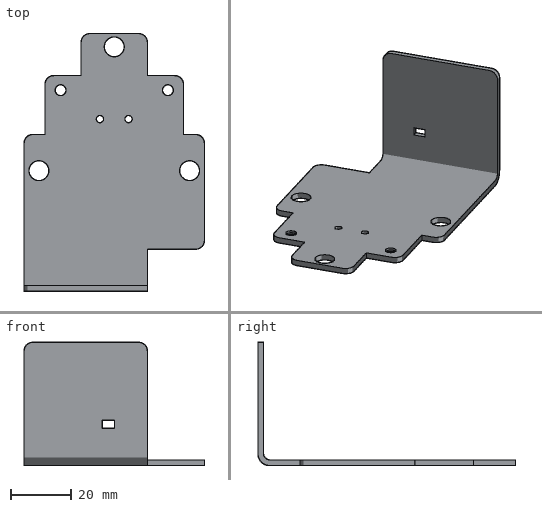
import cadquery as cq

width = 60.0
length = 85.7
height = 41.0
thickness = 2.0
bend_outer_radius = 4.0
bend_inner_radius = bend_outer_radius - thickness
corner_radius = 3.0

center_x = width / 2
flange_width = 41.0
wide_front_y = 14.0
wide_back_y = 52.2
middle_back_y = 71.7
middle_width = 46.1
tip_width = 2 * (flange_width - center_x)

large_diameter = 6.5
medium_diameter = 3.5
small_diameter = 2.3
countersink_diameter = 6.0
countersink_depth = (countersink_diameter - medium_diameter) / 2
large_spacing = 50.0
medium_spacing = 35.6
small_spacing = 9.5
large_y = 40.1
medium_y = 66.8
small_y = 57.2
tip_hole_y = 81.2

window_width = 3.9
window_height = 2.6
window_x = 28.0
window_z = 13.8


def box(x_min, x_max, y_min, y_max, z_min, z_max):
    """Box between the given limits along each axis."""
    size = (x_max - x_min, y_max - y_min, z_max - z_min)
    return cq.Workplane("XY").box(*size, centered=False).translate((x_min, y_min, z_min))


def base_plate():
    """Flat stepped plate behind the bend, with its outer corners rounded."""
    middle_left = center_x - middle_width / 2
    middle_right = center_x + middle_width / 2
    tip_left = center_x - tip_width / 2
    tip_right = center_x + tip_width / 2
    outline = [
        (0, bend_outer_radius),
        (flange_width, bend_outer_radius),
        (flange_width, wide_front_y),
        (width, wide_front_y),
        (width, wide_back_y),
        (middle_right, wide_back_y),
        (middle_right, middle_back_y),
        (tip_right, middle_back_y),
        (tip_right, length),
        (tip_left, length),
        (tip_left, middle_back_y),
        (middle_left, middle_back_y),
        (middle_left, wide_back_y),
        (0, wide_back_y),
    ]
    rounded_corners = [
        (width, wide_front_y),
        (width, wide_back_y),
        (middle_right, middle_back_y),
        (tip_right, length),
        (tip_left, length),
        (middle_left, middle_back_y),
        (0, wide_back_y),
    ]
    plate = cq.Workplane("XY").polyline(outline).close().extrude(thickness)
    for x, y in rounded_corners:
        corner = cq.selectors.NearestToPointSelector((x, y, thickness / 2))
        plate = plate.edges("|Z").edges(corner).fillet(corner_radius)
    return plate


def bend():
    """Quarter ring joining the base to the flange."""
    return (
        cq.Workplane("YZ")
        .center(bend_outer_radius, bend_outer_radius)
        .circle(bend_outer_radius)
        .circle(bend_inner_radius)
        .extrude(flange_width)
        .intersect(box(0, flange_width, 0, bend_outer_radius, 0, bend_outer_radius))
    )


def flange():
    """Upright plate with rounded top corners and a rectangular window."""
    plate = box(0, flange_width, 0, thickness, bend_outer_radius, height)
    plate = plate.edges("|Y and >Z").fillet(corner_radius)
    window = box(
        window_x - window_width / 2,
        window_x + window_width / 2,
        0,
        thickness,
        window_z - window_height / 2,
        window_z + window_height / 2,
    )
    return plate.cut(window)


def base_holes(diameter, centers):
    """Cylinders through the base, used as cutters."""
    return cq.Workplane("XY").pushPoints(centers).circle(diameter / 2).extrude(thickness)


def countersink(x, y):
    """90 degree cone that opens at the underside of the base."""
    cone = cq.Solid.makeCone(countersink_diameter / 2, medium_diameter / 2, countersink_depth)
    return cq.Workplane(cone).translate((x, y, 0))


def mirrored_pair(spacing, y):
    """Two points placed evenly about the centre line of the base."""
    return [(center_x - spacing / 2, y), (center_x + spacing / 2, y)]


result = base_plate().union(bend()).union(flange())
result = result.cut(base_holes(large_diameter, mirrored_pair(large_spacing, large_y)))
result = result.cut(base_holes(large_diameter, [(center_x, tip_hole_y)]))
result = result.cut(base_holes(medium_diameter, mirrored_pair(medium_spacing, medium_y)))
result = result.cut(base_holes(small_diameter, mirrored_pair(small_spacing, small_y)))
for hole_x, hole_y in mirrored_pair(medium_spacing, medium_y):
    result = result.cut(countersink(hole_x, hole_y))